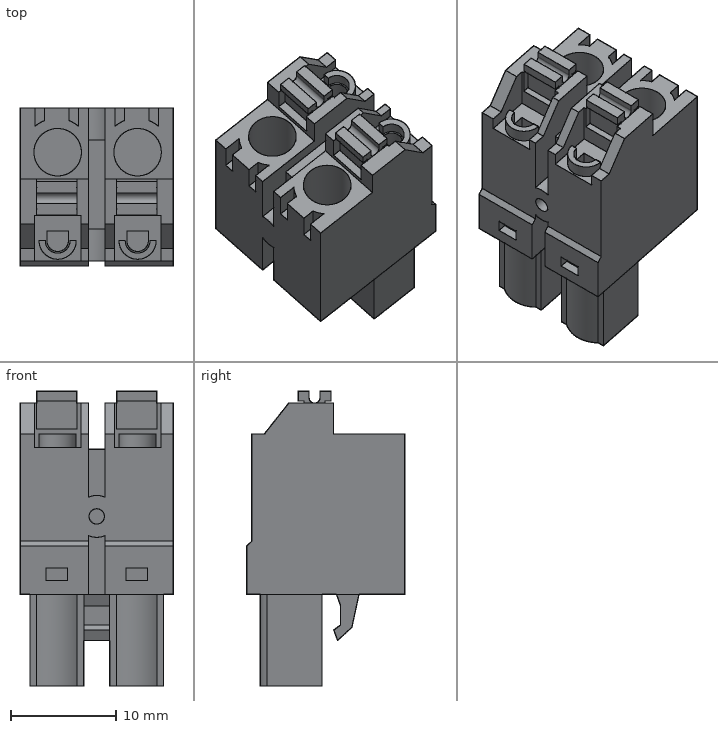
import cadquery as cq


overall_height = 28.07
lever_top = 19.35
pole_pitch = 7.6
socket_offset = 0.08
pole_centres = [-pole_pitch / 2, pole_pitch / 2]
housing_width = 14.57
housing_back = 14.57

shelf_height = 15.27
tower_height = 18.22
tower_back = 7.8
tower_front = 3.55
slope_foot = 1.2
foot_projection = 0.48
foot_height = 4.6
foot_chamfer_top = 5.05

gap_width = 1.55
web_height = 13.8
web_front = 3.03
web_back = housing_back - web_front
boss_radius = 2.0
boss_height = 7.4
boss_hole_diameter = 1.45
boss_hole_depth = web_front

funnel_diameter = 4.52
funnel_y = 10.35
funnel_depth = 8.42
notch_inner = 1.15
notch_outer = 2.08
notch_depth = 2.8
notch_arc_radius = 3.23

pocket_width = 4.44
pocket_back = 4.35
pocket_floor = 13.98
collar_y = 1.95
collar_outer_radius = 1.77
collar_inner_radius = 1.18
probe_width = 2.05
probe_back = 2.85
probe_depth = 2.8

window_bottom = 1.3
window_top = 2.5
window_depth = 0.85

plug_width = 5.15
plug_length = overall_height - lever_top
plug_back = 6.7
plug_shoulder = 1.45
plug_nose = 0.79
plug_nose_width = 3.87
latch_width = pole_pitch - plug_width

lever_width = 3.82
lever_seat = 15.75
head_underside = 18.39
head_front = 4.4
head_back = 7.55
neck_front = 4.97
neck_back = 7.0
groove_width = 1.0
groove_axis_height = 18.7


def box(x_min, x_max, y_min, y_max, z_min, z_max):
    """Axis-aligned block between the given limits."""
    size = (x_max - x_min, y_max - y_min, z_max - z_min)
    return cq.Workplane("XY").box(*size, centered=False).translate((x_min, y_min, z_min))


def centred_box(x, width, y_min, y_max, z_min, z_max):
    """Axis-aligned block centred on x."""
    return box(x - width / 2, x + width / 2, y_min, y_max, z_min, z_max)


def side_prism(points, x, width):
    """Prism along X, centred on x, from a closed (Y, Z) outline."""
    return cq.Workplane("YZ").polyline(points).close().extrude(width / 2, both=True).translate((x, 0, 0))


def upright_cylinder(x, y, radius, z_min, z_max):
    """Vertical cylinder between two heights."""
    return cq.Workplane("XY", origin=(x, y, z_min)).circle(radius).extrude(z_max - z_min)


def cross_cylinder(radius, y_min, y_max):
    """Cylinder along Y on the boss axis."""
    plane = cq.Workplane("XZ", origin=(0, y_max, boss_height))
    return plane.circle(radius).extrude(y_max - y_min)


def housing_shell():
    """Side profile across the full width, slotted down to the web between the poles."""
    profile = [
        (housing_back, 0),
        (housing_back, shelf_height),
        (tower_back, shelf_height),
        (tower_back, tower_height),
        (tower_front, tower_height),
        (slope_foot, shelf_height),
        (0, shelf_height),
        (0, foot_chamfer_top),
        (-foot_projection, foot_height),
        (-foot_projection, 0),
    ]
    shell = side_prism(profile, 0, housing_width)
    gap = centred_box(0, gap_width, -foot_projection, housing_back, 0, tower_height)
    web = centred_box(0, gap_width, web_front, web_back, 0, web_height)
    gap_zone = centred_box(0, gap_width, 0, housing_back, 0, tower_height)
    bosses = cross_cylinder(boss_radius, 0, housing_back).intersect(gap_zone)
    shell = shell.cut(gap).union(web).union(bosses)
    return shell.cut(cross_cylinder(boss_hole_diameter / 2, 0, boss_hole_depth))


def wire_funnel(x):
    """Round wire entry in the shelf."""
    return upright_cylinder(x, funnel_y, funnel_diameter / 2, shelf_height - funnel_depth, shelf_height)


def keying_notches(x):
    """Pair of notches in the back edge of the shelf, ending on an arc about the pole centre."""
    width = notch_outer - notch_inner
    middle = (notch_outer + notch_inner) / 2
    limits = (funnel_y, housing_back, shelf_height - notch_depth, shelf_height)
    notches = centred_box(x - middle, width, *limits)
    notches = notches.union(centred_box(x + middle, width, *limits))
    return notches.cut(upright_cylinder(x, funnel_y, notch_arc_radius, 0, shelf_height))


def test_pocket(x):
    """Open-fronted pocket in the tower."""
    return centred_box(x, pocket_width, 0, pocket_back, pocket_floor, tower_height)


def collar(x):
    """Half ring standing on the pocket floor."""
    ring = upright_cylinder(x, collar_y, collar_outer_radius, pocket_floor, shelf_height)
    ring = ring.cut(upright_cylinder(x, collar_y, collar_inner_radius, pocket_floor, shelf_height))
    front_half = centred_box(x, pocket_width, 0, collar_y, pocket_floor, shelf_height)
    return ring.intersect(front_half)


def probe_hole(x):
    """Hole in the pocket floor, square at the back and round at the front."""
    bottom = pocket_floor - probe_depth
    radius = probe_width / 2
    rounded = upright_cylinder(x, collar_y, radius, bottom, pocket_floor)
    rounded = rounded.union(centred_box(x, probe_width, collar_y, collar_y + radius, bottom, pocket_floor))
    return rounded.intersect(centred_box(x, probe_width, 0, probe_back, bottom, pocket_floor))


def lever_slot(x):
    """Slot through the tower that seats a lever."""
    return centred_box(x, lever_width, pocket_back, tower_back, lever_seat, tower_height)


def foot_window(x):
    """Rectangular window in the front of the foot."""
    back = window_depth - foot_projection
    return centred_box(x, probe_width, -foot_projection, back, window_bottom, window_top)


def plug(x):
    """Plug below one pole, with a bowed front."""
    outline = (
        cq.Workplane("XY")
        .moveTo(x - plug_width / 2, plug_back)
        .lineTo(x - plug_width / 2, plug_shoulder)
        .lineTo(x - plug_nose_width / 2, plug_shoulder)
        .threePointArc((x, plug_nose), (x + plug_nose_width / 2, plug_shoulder))
        .lineTo(x + plug_width / 2, plug_shoulder)
        .lineTo(x + plug_width / 2, plug_back)
        .close()
    )
    return outline.extrude(-plug_length)


def latch():
    """Hooked latch between the plugs."""
    profile = [
        (10.22, 0),
        (9.55, -3.15),
        (8.17, -4.4),
        (7.8, -3.4),
        (8.45, -2.92),
        (8.45, -1.1),
        (8.05, 0),
    ]
    return side_prism(profile, 0, latch_width)


def make_housing():
    """Housing with all the features of both poles."""
    body = housing_shell()
    for x in pole_centres:
        socket_x = x + socket_offset
        body = body.cut(wire_funnel(socket_x)).cut(keying_notches(x)).cut(test_pocket(socket_x))
        body = body.union(collar(socket_x)).cut(probe_hole(socket_x))
        body = body.cut(lever_slot(x)).cut(foot_window(x)).union(plug(x))
    return body.union(latch())


def make_lever(x):
    """Release lever: a neck in the slot under a deeper head with a screwdriver groove."""
    neck = centred_box(x, lever_width, neck_front, neck_back, lever_seat, lever_top)
    head = centred_box(x, lever_width, head_front, head_back, head_underside, lever_top)
    groove_y = (head_front + head_back) / 2
    groove = (
        cq.Workplane("YZ", origin=(x - lever_width / 2, groove_y, groove_axis_height))
        .circle(groove_width / 2)
        .extrude(lever_width)
    )
    groove_sides = (groove_y - groove_width / 2, groove_y + groove_width / 2)
    groove = groove.union(centred_box(x, lever_width, *groove_sides, groove_axis_height, lever_top))
    return neck.union(head).cut(groove)


housing = make_housing()
levers = [make_lever(x) for x in pole_centres]

result = cq.Compound.makeCompound([housing.val(), *[lever.val() for lever in levers]])